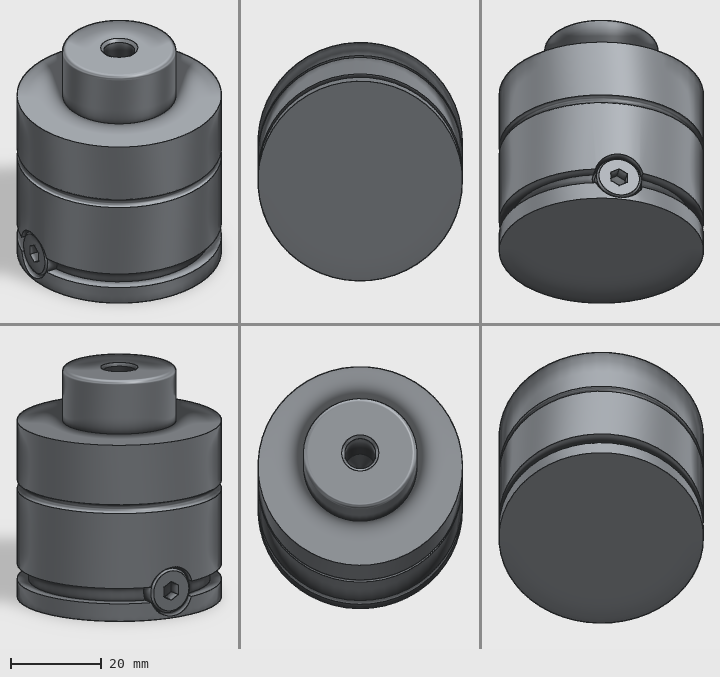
import cadquery as cq
import math

total_height = 52.0
body_diameter = 45.0
body_radius = body_diameter / 2
body_height = 40.0
boss_diameter = 25.0
boss_round = 1.0

slot_floor_diameter = 40.0
slot_bottom = 4.0
slot_top = 7.5
round_groove_radius = 1.0
round_groove_height = 25.5

drill_diameter = 6.8
drill_depth = 15.0
drill_tip_angle = 118.0
mouth_diameter = 8.15

screw_height = 6.0
pocket_diameter = 11.0
pocket_floor_y = -17.7
head_diameter = 10.0
head_face_y = -21.85
head_chamfer = 0.45
hex_across_flats = 3.7
hex_depth = 3.0


def disc(diameter, bottom, top):
    """Upright cylinder on the main axis."""
    return cq.Workplane("XY").workplane(offset=bottom).circle(diameter / 2).extrude(top - bottom)


def side_plane(y):
    """Plane through the screw axis at depth y, with its normal pointing outward along -Y."""
    return cq.Workplane("XZ", origin=(0, y, screw_height))


def turned_body():
    boss = disc(boss_diameter, 0, total_height).faces(">Z").edges().fillet(boss_round)
    return disc(body_diameter, 0, body_height).union(boss)


def slot_ring():
    ring = disc(body_diameter, slot_bottom, slot_top)
    return ring.cut(disc(slot_floor_diameter, slot_bottom, slot_top))


def round_groove_ring():
    return cq.Workplane(cq.Solid.makeTorus(
        body_radius, round_groove_radius, cq.Vector(0, 0, round_groove_height), cq.Vector(0, 0, 1)))


def boss_hole():
    """Blind hole with a conical tip and a 45 degree countersunk mouth."""
    drill_radius = drill_diameter / 2
    mouth_radius = mouth_diameter / 2
    hole_bottom = total_height - drill_depth
    tip_height = drill_radius / math.tan(math.radians(drill_tip_angle / 2))
    return (
        cq.Workplane("XZ")
        .moveTo(0, total_height)
        .lineTo(mouth_radius, total_height)
        .lineTo(drill_radius, total_height - (mouth_radius - drill_radius))
        .lineTo(drill_radius, hole_bottom)
        .lineTo(0, hole_bottom - tip_height)
        .close()
        .revolve(360, (0, 0, 0), (0, 1, 0))
    )


def screw_pocket():
    return side_plane(pocket_floor_y).circle(pocket_diameter / 2).extrude(body_radius + pocket_floor_y)


def plug_screw():
    """Screw head with a chamfered rim and a hexagon socket, two corners pointing up and down."""
    head = side_plane(pocket_floor_y).circle(head_diameter / 2).extrude(pocket_floor_y - head_face_y)
    head = head.faces("<Y").edges().chamfer(head_chamfer)
    hex_across_corners = hex_across_flats / math.cos(math.pi / 6)
    socket = (
        side_plane(head_face_y)
        .transformed(rotate=(0, 0, 90))
        .polygon(6, hex_across_corners)
        .extrude(-hex_depth)
    )
    return head.cut(socket)


result = (
    turned_body()
    .cut(slot_ring())
    .cut(round_groove_ring())
    .cut(boss_hole())
    .cut(screw_pocket())
    .union(plug_screw())
)